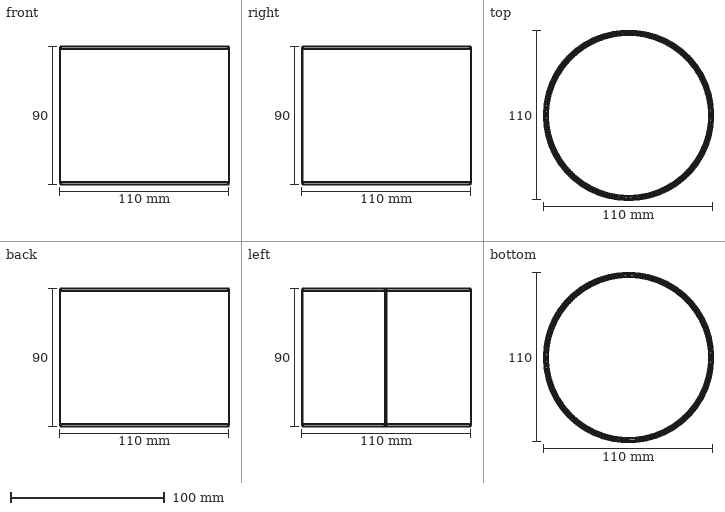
import cadquery as cq

outer_diameter = 110.0
wall = 2.5
length = 90.0
outer_chamfer_length = 1.8
outer_chamfer_depth = 0.7
inner_chamfer = 0.4
split_width = 1.0

outer_radius = outer_diameter / 2
inner_radius = outer_radius - wall
half_length = length / 2

wall_section = [
    (inner_radius, -half_length + inner_chamfer),
    (inner_radius + inner_chamfer, -half_length),
    (outer_radius - outer_chamfer_depth, -half_length),
    (outer_radius, -half_length + outer_chamfer_length),
    (outer_radius, half_length - outer_chamfer_length),
    (outer_radius - outer_chamfer_depth, half_length),
    (inner_radius + inner_chamfer, half_length),
    (inner_radius, half_length - inner_chamfer),
]
sleeve = cq.Workplane("XZ").polyline(wall_section).close().revolve(360, (0, 0), (0, 1))

split = cq.Workplane("XY").box(outer_radius, split_width, length, centered=(False, False, True))
result = sleeve.cut(split.translate((-outer_radius, 0, 0)))